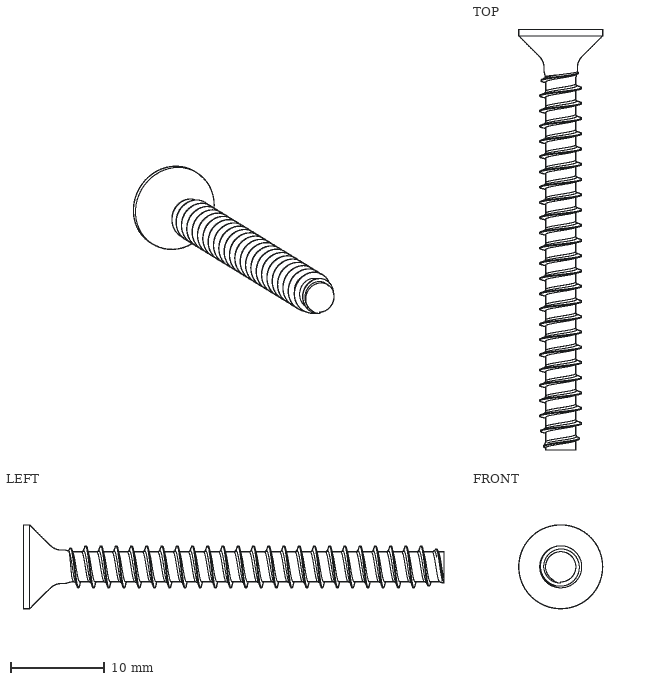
import cadquery as cq
import math


screw_length = 45.0
head_radius = 4.5
rim_thickness = 0.68
cone_angle = math.radians(45.0)
neck_radius = 1.8
neck_fillet_radius = 1.7
neck_end_depth = 4.5
core_radius = 1.6
core_start_depth = 5.18

thread_radius = 2.25
crest_width = 0.1
foot_radius = 1.7
foot_reach = 0.22
foot_base_reach = 0.6
tip_flank_reach = 0.2
root_overlap = 0.05
thread_start_depth = 4.25
thread_start_angle = 270.0
thread_turns = 25
lead_in_turns = 1.0
run_out_turns = 1.5
lead_in_radius = neck_radius - 0.05
run_out_radius = foot_radius + 0.022

pitch = (screw_length - thread_start_depth) / thread_turns
root_radius = core_radius - root_overlap


def make_body():
    """Head, neck and core, revolved from one half section (radius, -depth)."""
    fillet_mid_angle = cone_angle / 2
    fillet_center_radius = neck_radius + neck_fillet_radius
    fillet_start_radius = fillet_center_radius - neck_fillet_radius * math.cos(cone_angle)
    fillet_start_depth = rim_thickness + (head_radius - fillet_start_radius) / math.tan(cone_angle)
    fillet_end_depth = fillet_start_depth + neck_fillet_radius * math.sin(cone_angle)
    fillet_middle = (
        fillet_center_radius - neck_fillet_radius * math.cos(fillet_mid_angle),
        -fillet_end_depth + neck_fillet_radius * math.sin(fillet_mid_angle),
    )
    return (
        cq.Workplane("XY")
        .lineTo(head_radius, 0)
        .lineTo(head_radius, -rim_thickness)
        .lineTo(fillet_start_radius, -fillet_start_depth)
        .threePointArc(fillet_middle, (neck_radius, -fillet_end_depth))
        .lineTo(neck_radius, -neck_end_depth)
        .lineTo(core_radius, -core_start_depth)
        .lineTo(core_radius, -screw_length)
        .lineTo(0, -screw_length)
        .close()
        .revolve(360, (0, 0, 0), (0, 1, 0))
        .val()
    )


def helix_edge(start_radius, end_radius, start_turn, turns, offset):
    """Helix about +Z whose radius changes evenly; offset shifts it along the axis."""
    rise = turns * pitch
    taper = math.atan2(end_radius - start_radius, rise)
    apex_angle = math.degrees(taper) if taper else 360
    slant = 1 / math.cos(taper)
    helix = cq.Wire.makeHelix(pitch * slant, rise * slant, start_radius, angle=apex_angle)
    depth = thread_start_depth + start_turn * pitch + offset
    turned = helix.rotate(cq.Vector(0, 0, 0), cq.Vector(0, 0, 1), thread_start_angle + 360 * start_turn)
    return turned.translate(cq.Vector(0, 0, depth)).Edges()[0]


def make_ridge(start_radius, end_radius, start_turn, turns):
    """Solid stretch of thread wound about +Z; the radii are those of its crest."""
    half_crest = crest_width / 2
    edges = [
        helix_edge(root_radius, root_radius, start_turn, turns, -foot_base_reach),
        helix_edge(foot_radius, foot_radius, start_turn, turns, -foot_reach),
        helix_edge(start_radius, end_radius, start_turn, turns, -half_crest),
        helix_edge(start_radius, end_radius, start_turn, turns, half_crest),
        helix_edge(root_radius, root_radius, start_turn, turns, tip_flank_reach),
    ]
    faces = [cq.Face.makeRuledSurface(edges[i - 1], edges[i]) for i in range(len(edges))]
    for end in (0, 1):
        corners = [edge.positionAt(end) for edge in edges]
        faces.append(cq.Face.makeFromWires(cq.Wire.makePolygon(corners, close=True)))
    return cq.Solid.makeSolid(cq.Shell.makeShell(faces)).fix()


def make_thread():
    """Lead-in, full-height turns and run-out, with the winding axis turned from +Z to -Y."""
    run_out_start = thread_turns - run_out_turns
    ridges = [
        make_ridge(lead_in_radius, thread_radius, 0, lead_in_turns),
        make_ridge(thread_radius, run_out_radius, run_out_start, run_out_turns),
    ]
    turn = lead_in_turns
    while turn < run_out_start:
        turns = min(1, run_out_start - turn)
        ridges.append(make_ridge(thread_radius, thread_radius, turn, turns))
        turn += turns
    return [ridge.rotate(cq.Vector(0, 0, 0), cq.Vector(1, 0, 0), 90) for ridge in ridges]


screw = make_body().fuse(*make_thread())
envelope = cq.Workplane("XZ").circle(head_radius).extrude(screw_length)
result = cq.Workplane("XY").add(screw.intersect(envelope.val()).Solids()[0])